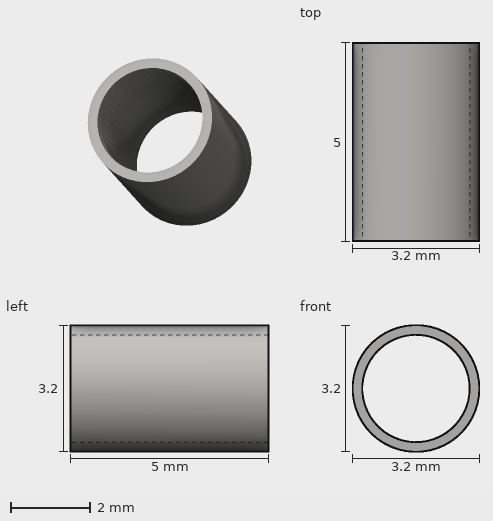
import cadquery as cq

length = 5.0
outer_diameter = 3.2
wall_thickness = 0.25

inner_diameter = outer_diameter - 2 * wall_thickness

result = (
    cq.Workplane("XZ", origin=(0, length / 2, 0))
    .circle(outer_diameter / 2)
    .circle(inner_diameter / 2)
    .extrude(length)
)